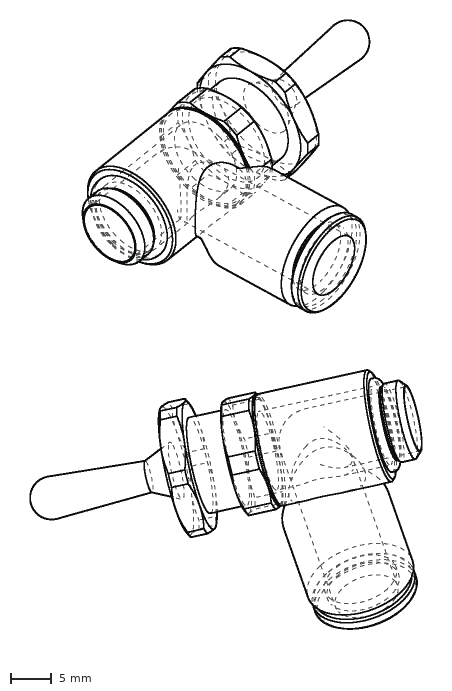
import cadquery as cq
import math


OVERALL_LENGTH = 48.45

PASSAGE_RADIUS = 4.0

LEVER_TIP_Y = 35.6
LEVER_BALL_RADIUS = 2.65
LEVER_WAIST_Y = 20.7
LEVER_WAIST_RADIUS = 2.0
LEVER_FOOT_RADIUS = 3.6

HEX_SIDES = 6
LOWER_HEX_FLATS = 14.0
LOWER_HEX_CORNER_RADIUS = 7.5
LOWER_HEX_BOTTOM_Y = 5.55
LOWER_HEX_HEIGHT = 4.0
UPPER_HEX_FLATS = 16.0
UPPER_HEX_CORNER_RADIUS = 8.75
UPPER_HEX_HEIGHT = 3.0
HEX_CHAMFER_ANGLE = 30.0

BARREL_RADIUS = 6.0
BARREL_LENGTH = 4.6

THREAD_RADIUS = 4.95
THREAD_END_Y = LEVER_TIP_Y - OVERALL_LENGTH
THREAD_TIP_CHAMFER = 0.77
THREAD_TOP_CHAMFER = 0.3
THREAD_LENGTH = 2.8
SEAL_RADIUS = 5.85
SEAL_HEIGHT = 0.95
SEAL_ROUND = 0.7

SLEEVE_RADIUS = LOWER_HEX_FLATS / 2
SLEEVE_BOTTOM_Y = -8.85
SLEEVE_CHAMFER = 0.3

BRANCH_NECK_RADIUS = 4.9
BRANCH_RADIUS = 6.8
BRANCH_CONE_ANGLE = 30.0
BRANCH_CONE_START_X = 7.35
BRANCH_BLEND_RADIUS = 2.0
BRANCH_END_X = 22.2
COLLET_NECK_RADIUS = 4.6
COLLET_RADIUS = 6.55
COLLET_START_X = 23.35
COLLET_END_X = 24.9
COLLET_CHAMFER = 0.3

LOWER_HEX_TOP_Y = LOWER_HEX_BOTTOM_Y + LOWER_HEX_HEIGHT
UPPER_HEX_BOTTOM_Y = LOWER_HEX_TOP_Y + BARREL_LENGTH
UPPER_HEX_TOP_Y = UPPER_HEX_BOTTOM_Y + UPPER_HEX_HEIGHT
THREAD_TOP_Y = THREAD_END_Y + THREAD_LENGTH


def revolve_about_y(profile):
    return profile.close().revolve(360, (0, 0, 0), (0, 1, 0))


def cylinder_along_y(radius, bottom_y, top_y):
    profile = cq.Workplane("XY").moveTo(0, bottom_y).lineTo(radius, bottom_y)
    return revolve_about_y(profile.lineTo(radius, top_y).lineTo(0, top_y))


def hexagon(flats, corner_radius, bottom_y, height):
    """Hexagon with flats facing +Z and -Z, its corners turned round and chamfered at both ends."""
    face_radius = flats / 2
    drop = (corner_radius - face_radius) * math.tan(math.radians(HEX_CHAMFER_ANGLE))
    top_y = bottom_y + height
    prism = (
        cq.Workplane("XZ", origin=(0, bottom_y, 0))
        .polygon(HEX_SIDES, flats / math.cos(math.pi / HEX_SIDES))
        .extrude(-height)
    )
    turned = revolve_about_y(
        cq.Workplane("XY")
        .moveTo(0, bottom_y)
        .lineTo(face_radius, bottom_y)
        .lineTo(corner_radius, bottom_y + drop)
        .lineTo(corner_radius, top_y - drop)
        .lineTo(face_radius, top_y)
        .lineTo(0, top_y)
    )
    return prism.intersect(turned)


def make_lever():
    """Tapered handle with a round tip, standing on a conical foot."""
    ball_y = LEVER_TIP_Y - LEVER_BALL_RADIUS
    diagonal = LEVER_BALL_RADIUS * math.sqrt(0.5)
    return revolve_about_y(
        cq.Workplane("XY")
        .moveTo(0, UPPER_HEX_TOP_Y)
        .lineTo(LEVER_FOOT_RADIUS, UPPER_HEX_TOP_Y)
        .lineTo(LEVER_WAIST_RADIUS, LEVER_WAIST_Y)
        .lineTo(LEVER_BALL_RADIUS, ball_y)
        .threePointArc((diagonal, ball_y + diagonal), (0, LEVER_TIP_Y))
    )


def make_threaded_end():
    """Plain thread cylinder, chamfered at the tip and next to the seal."""
    groove_radius = THREAD_RADIUS - THREAD_TOP_CHAMFER
    return revolve_about_y(
        cq.Workplane("XY")
        .moveTo(0, THREAD_END_Y)
        .lineTo(THREAD_RADIUS - THREAD_TIP_CHAMFER, THREAD_END_Y)
        .lineTo(THREAD_RADIUS, THREAD_END_Y + THREAD_TIP_CHAMFER)
        .lineTo(THREAD_RADIUS, THREAD_TOP_Y - THREAD_TOP_CHAMFER)
        .lineTo(groove_radius, THREAD_TOP_Y)
        .lineTo(groove_radius, SLEEVE_BOTTOM_Y)
        .lineTo(0, SLEEVE_BOTTOM_Y)
    )


def make_seal():
    """Sealing ring under the sleeve, rounded on its lower outer edge."""
    seal = cylinder_along_y(SEAL_RADIUS, SLEEVE_BOTTOM_Y - SEAL_HEIGHT, SLEEVE_BOTTOM_Y)
    return seal.faces("<Y").edges().fillet(SEAL_ROUND)


def make_passage():
    """Bore that comes in at the threaded end, turns in a ball corner and leaves along the branch."""
    inlet = cylinder_along_y(PASSAGE_RADIUS, THREAD_END_Y, 0)
    corner = cq.Workplane("XY").sphere(PASSAGE_RADIUS)
    outlet = cq.Workplane("YZ").circle(PASSAGE_RADIUS).extrude(COLLET_END_X)
    return inlet.union(corner).union(outlet)


def make_stem():
    """Lever, hexagons, barrel, core inside the sleeve, seal and threaded end in one piece."""
    core = cylinder_along_y(THREAD_RADIUS, SLEEVE_BOTTOM_Y, LOWER_HEX_BOTTOM_Y)
    lower_hex = hexagon(LOWER_HEX_FLATS, LOWER_HEX_CORNER_RADIUS, LOWER_HEX_BOTTOM_Y, LOWER_HEX_HEIGHT)
    barrel = cylinder_along_y(BARREL_RADIUS, LOWER_HEX_TOP_Y, UPPER_HEX_BOTTOM_Y)
    upper_hex = hexagon(UPPER_HEX_FLATS, UPPER_HEX_CORNER_RADIUS, UPPER_HEX_BOTTOM_Y, UPPER_HEX_HEIGHT)
    stem = make_threaded_end()
    for section in (make_seal(), core, lower_hex, barrel, upper_hex, make_lever()):
        stem = stem.union(section)
    return stem.cut(make_passage())


def make_branch():
    """Neck that widens through a blended cone to the tube socket, with the collet at its end."""
    angle = math.radians(BRANCH_CONE_ANGLE)
    cone_length = (BRANCH_RADIUS - BRANCH_NECK_RADIUS) / math.tan(angle)
    cone_end_x = BRANCH_CONE_START_X + cone_length
    body = (
        cq.Workplane("XY")
        .lineTo(0, BRANCH_NECK_RADIUS)
        .lineTo(BRANCH_CONE_START_X, BRANCH_NECK_RADIUS)
        .lineTo(cone_end_x, BRANCH_RADIUS)
        .lineTo(BRANCH_END_X, BRANCH_RADIUS)
        .lineTo(BRANCH_END_X, 0)
        .close()
        .revolve(360, (0, 0, 0), (1, 0, 0))
    )
    body = body.faces("%CONE").edges("%CIRCLE").fillet(BRANCH_BLEND_RADIUS)
    neck = cq.Workplane("YZ").circle(COLLET_NECK_RADIUS).extrude(COLLET_START_X)
    flange = (
        cq.Workplane("YZ", origin=(COLLET_START_X, 0, 0))
        .circle(COLLET_RADIUS)
        .extrude(COLLET_END_X - COLLET_START_X)
        .edges()
        .chamfer(COLLET_CHAMFER)
    )
    return body.union(neck).union(flange)


def make_elbow():
    """Sleeve that turns on the stem, with the tube branch on its side."""
    sleeve = cylinder_along_y(SLEEVE_RADIUS, SLEEVE_BOTTOM_Y, LOWER_HEX_BOTTOM_Y)
    sleeve = sleeve.edges("%CIRCLE").chamfer(SLEEVE_CHAMFER)
    stem_hole = cylinder_along_y(THREAD_RADIUS, SLEEVE_BOTTOM_Y, LOWER_HEX_BOTTOM_Y)
    return sleeve.union(make_branch()).cut(stem_hole).cut(make_passage())


stem = make_stem()
elbow = make_elbow()
result = cq.Compound.makeCompound([stem.val(), elbow.val()])